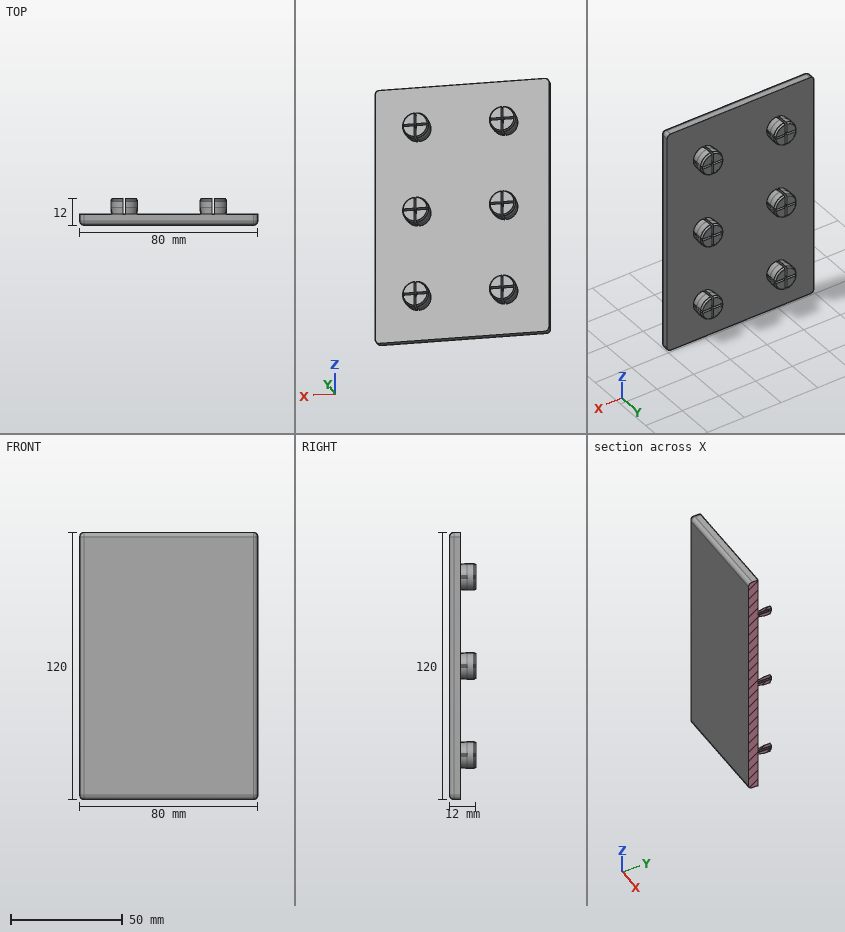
import cadquery as cq

plate_width = 80.0
plate_height = 120.0
plate_thickness = 5.0
edge_radius = 2.0

peg_columns = 2
peg_rows = 3
peg_pitch = 40.0
head_radius = 6.0
root_radius = 5.75
tip_radius = 5.5
flare_length = 3.0
head_length = 3.0
tip_length = 1.0
slot_width = 1.0
through_slot_length = 2 * head_radius
cross_slot_length = 2 * tip_radius
peg_length = flare_length + head_length + tip_length


def make_plate():
    """Rectangular plate with rounded corners and a rounded front rim."""
    plate = cq.Workplane("XY").box(
        plate_width, plate_thickness, plate_height, centered=(True, False, True)
    )
    plate = plate.edges("|Y").fillet(edge_radius)
    return plate.faces("<Y").edges().fillet(edge_radius)


def make_slot(size_x, size_z):
    """Block that cuts a peg over its whole length, down to the plate back."""
    slot = cq.Workplane("XY").box(size_x, peg_length, size_z, centered=(True, False, True))
    return slot.translate((0, plate_thickness, 0))


def make_peg():
    """Round peg along +Y, standing on the plate back and split by two crossing slots."""
    root_y = plate_thickness
    head_y = root_y + flare_length
    tip_y = head_y + head_length
    end_y = root_y + peg_length
    peg = (
        cq.Workplane("XY")
        .moveTo(0, root_y)
        .lineTo(root_radius, root_y)
        .lineTo(head_radius, head_y)
        .lineTo(head_radius, tip_y)
        .lineTo(tip_radius, end_y)
        .lineTo(0, end_y)
        .close()
        .revolve(360, (0, 0, 0), (0, 1, 0))
    )
    through_slot = make_slot(slot_width, through_slot_length)
    cross_slot = make_slot(cross_slot_length, slot_width)
    return peg.cut(through_slot).cut(cross_slot)


def centred_positions(count, pitch):
    """Evenly spaced positions, symmetric about zero."""
    return [(i - (count - 1) / 2) * pitch for i in range(count)]


result = make_plate()
peg = make_peg()
for x in centred_positions(peg_columns, peg_pitch):
    for z in centred_positions(peg_rows, peg_pitch):
        result = result.union(peg.translate((x, 0, z)))